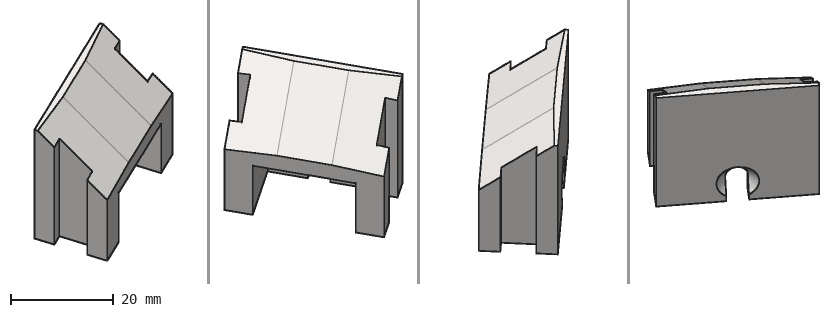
import cadquery as cq

depth = 15.5
width = 32.0
height = 30.0

ridge_width = 11.0
ridge_flat = 1.5
ridge_end_height = 17.5
side_drop = 0.7
roof_slope = (height - ridge_end_height) / (depth - ridge_flat)
roof_fall = roof_slope * depth

groove_width = 6.98
groove_depth = 2.5

slot_width = 4.45
slot_center_height = 5.0
sink_diameter = 8.4

wall = 3.2
cavity_depth = depth - wall
cavity_width = width - 2 * (groove_depth + wall)
cavity_height = ridge_end_height - side_drop - wall


def make_body():
    """Gabled YZ section swept down the roof slope, trimmed to the outer block."""
    ridge_height = ridge_end_height + roof_fall
    eave_height = ridge_height - side_drop
    section_base = -height
    section = cq.Wire.makePolygon(
        [
            cq.Vector(0, -width / 2, section_base),
            cq.Vector(0, width / 2, section_base),
            cq.Vector(0, width / 2, eave_height),
            cq.Vector(0, ridge_width / 2, ridge_height),
            cq.Vector(0, -ridge_width / 2, ridge_height),
            cq.Vector(0, -width / 2, eave_height),
        ],
        close=True,
    )
    sweep = cq.Solid.extrudeLinear(section, [], cq.Vector(depth, 0, -roof_fall))
    block = cq.Workplane("XY").box(depth, width, height, centered=(False, True, False))
    return block.intersect(cq.Workplane(obj=sweep))


def make_grooves():
    """One full-height groove in each side face, centred along X."""
    return (
        cq.Workplane("XY")
        .pushPoints([(depth / 2, -width / 2), (depth / 2, width / 2)])
        .rect(groove_width, 2 * groove_depth)
        .extrude(height)
    )


def make_cavity():
    return (
        cq.Workplane("XY")
        .box(cavity_depth, cavity_width, cavity_height, centered=(False, True, False))
        .translate((wall, 0, 0))
    )


def make_screw_slot():
    """Round-topped slot through the screw wall with a 90 degree countersink."""
    slot_radius = slot_width / 2
    sink_radius = sink_diameter / 2
    slot = (
        cq.Workplane("YZ")
        .moveTo(-slot_radius, 0)
        .lineTo(slot_radius, 0)
        .lineTo(slot_radius, slot_center_height)
        .threePointArc((0, slot_center_height + slot_radius), (-slot_radius, slot_center_height))
        .close()
        .extrude(wall)
    )
    sink = cq.Solid.makeCone(
        sink_radius,
        slot_radius,
        sink_radius - slot_radius,
        pnt=cq.Vector(0, 0, slot_center_height),
        dir=cq.Vector(1, 0, 0),
    )
    return slot.union(cq.Workplane(obj=sink))


result = make_body().cut(make_grooves()).cut(make_cavity()).cut(make_screw_slot())